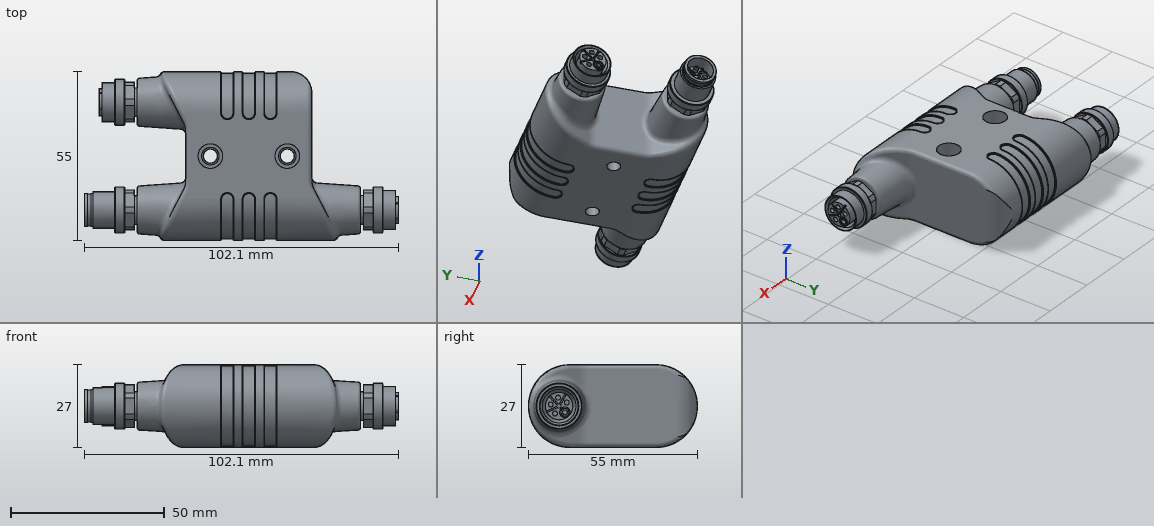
import cadquery as cq
import math

BODY_WIDTH = 54.95
BODY_HEIGHT = 26.95
SIDE_RADIUS = BODY_HEIGHT / 2
WAIST_HALF_LENGTH = 20.5
SLANT_START_Y = 9.5
SLANT_RATIO = 0.52
SHOULDER_BLEND = 6.0
CORNER_RADIUS = 7.0
END_EDGE_FILLET = 1.5
HALF_WIDTH = BODY_WIDTH / 2
SHOULDER_TIP_X = WAIST_HALF_LENGTH + SLANT_RATIO * (HALF_WIDTH - SLANT_START_Y)

GROOVE_COUNT = 3
GROOVE_PITCH = 7.0
GROOVE_WIDTH = 4.3
GROOVE_DEPTH = 0.5
GROOVE_STEP = 0.3
GROOVE_END_Y = HALF_WIDTH - SIDE_RADIUS

HOLE_SPACING = 25.0
HOLE_DIAMETER = 4.5
COUNTERBORE_DIAMETER = 8.0
COUNTERBORE_DEPTH = 8.0
STEP_DIAMETER = 5.7
STEP_DEPTH = 1.0

PORT_Y = 17.5
FEMALE_PORTS = ((-1, 1), (1, -1))
MALE_PORT = (-1, -1)
PORTS = (*FEMALE_PORTS, MALE_PORT)
SLEEVE_FRONT = 36.3
HEX_START = 37.2
NUT_START = 40.3
BARREL_START = 43.6
FEMALE_BARREL_END = 47.7
FEMALE_TIP = 48.65
MALE_THREAD_END = 50.6
MALE_TIP = 53.45

SLEEVE_FRONT_DIAMETER = 15.6
SLEEVE_TAPER = math.radians(4.0)
SLEEVE_ROOT = 18.0
SLEEVE_EDGE_FILLET = 0.9
SLEEVE_BLEND = 1.8
SEAM_TOLERANCE = 0.02
SEAM_SAMPLES = (0, 0.3, 0.5, 0.8, 1)
NECK_DIAMETER = 9.4
HEX_ACROSS_FLATS = 13.0
HEX_CORNER_DIAMETER = 14.0
NUT_DIAMETER = 15.0
NUT_CHAMFER = 0.25

FEMALE_BARREL_DIAMETER = 12.8
FEMALE_BORE_DIAMETER = 10.95
FEMALE_MOUTH_DIAMETER = 12.3
FEMALE_FUNNEL_DEPTH = 3.0
INSERT_DIAMETER = 8.9
INSERT_SLOT_DEPTH = 0.9

MALE_THREAD_DIAMETER = 12.0
MALE_NOSE_DIAMETER = 10.8
MALE_RELIEF_DIAMETER = 10.5
MALE_RELIEF_START = 51.2
MALE_RELIEF_END = 52.4
MALE_BORE_DIAMETER = 8.75
MALE_BORE_DEPTH = 5.0
MALE_RIB_HEIGHT = 0.6
MALE_COLLAR_DIAMETER = 3.0
MALE_COLLAR_HEIGHT = 3.8

CONTACT_COUNT = 5
CONTACT_CIRCLE_RADIUS = 2.75
FIRST_CONTACT_ANGLE = 97.0
PIN_DIAMETER = 1.5
PIN_LENGTH = 2.0
PIN_TIP_CHAMFER = 0.4
PIN_ROOT = 1.0
SOCKET_DIAMETER = 1.6
SOCKET_DEPTH = 3.0
COLLAR_DIAMETER = 2.6
MOAT_DIAMETER = 3.4
WEB_WIDTH = 0.5
HUB_RADIUS = 0.7
CONTACT_STEP = 360.0 / CONTACT_COUNT
COLLAR_CONTACT = 2


def disc(diameter, start, end):
    """Cylinder on the X axis from X = start to X = end."""
    return cq.Workplane("YZ", origin=(start, 0, 0)).circle(diameter / 2).extrude(end - start)


def body_outline():
    """Block with the body outline in plan: three slanted shoulders and one square corner."""
    block = (
        cq.Workplane("XY")
        .moveTo(-SHOULDER_TIP_X, -HALF_WIDTH)
        .lineTo(SHOULDER_TIP_X, -HALF_WIDTH)
        .lineTo(WAIST_HALF_LENGTH, -SLANT_START_Y)
        .lineTo(WAIST_HALF_LENGTH, HALF_WIDTH)
        .lineTo(-SHOULDER_TIP_X, HALF_WIDTH)
        .lineTo(-WAIST_HALF_LENGTH, SLANT_START_Y)
        .lineTo(-WAIST_HALF_LENGTH, -SLANT_START_Y)
        .close()
        .extrude(BODY_HEIGHT, both=True)
    )
    for side_x, side_y in ((-1, -1), (-1, 1), (1, -1)):
        bend = (side_x * WAIST_HALF_LENGTH, side_y * SLANT_START_Y, 0)
        block = block.edges(cq.selectors.NearestToPointSelector(bend)).fillet(SHOULDER_BLEND)
    return block


def stadium_bar(inset=0.0):
    """Long bar on the X axis with the stadium section of the body, shrunk by inset."""
    section = cq.Workplane("YZ").slot2D(BODY_WIDTH - 2 * inset, BODY_HEIGHT - 2 * inset)
    return section.extrude(2 * SHOULDER_TIP_X, both=True)


def is_end_edge(edge):
    """True for the rim of the end faces; long edges and upright bend edges are left out."""
    upright = edge.geomType() == "LINE" and edge.BoundingBox().zlen > SIDE_RADIUS
    return abs(edge.Center().x) > WAIST_HALF_LENGTH / 2 and not upright


def corner_limit():
    """Block that clears the whole body and rounds only its plain corner in plan."""
    length = WAIST_HALF_LENGTH + SHOULDER_TIP_X
    rounded = (
        cq.Workplane("XY")
        .box(length, BODY_WIDTH, BODY_HEIGHT)
        .translate((WAIST_HALF_LENGTH - length / 2, 0, 0))
        .edges("|Z and >X and >Y")
        .fillet(CORNER_RADIUS)
    )
    lower_half = cq.Workplane("XY").box(2 * SHOULDER_TIP_X, HALF_WIDTH, BODY_HEIGHT)
    return rounded.union(lower_half.translate((0, -HALF_WIDTH / 2, 0)))


def body():
    """Stadium bar cut to the outline, with rounded ends and one rounded plain corner."""
    shell = stadium_bar().intersect(body_outline())
    shell = shell.edges().filter(is_end_edge).fillet(END_EDGE_FILLET)
    return shell.intersect(corner_limit())


def groove_band(x, side, width):
    """Upright slab with a round inner end, reaching out past one side of the body."""
    return (
        cq.Workplane("XY")
        .center(x, side * 2 * GROOVE_END_Y)
        .slot2D(2 * GROOVE_END_Y + width, width, 90)
        .extrude(BODY_HEIGHT, both=True)
    )


def grip_grooves():
    """Shallow bands over both rounded sides, with a narrower floor than mouth."""
    ledge_core = stadium_bar(GROOVE_DEPTH / 2)
    floor_core = stadium_bar(GROOVE_DEPTH)
    grooves = cq.Workplane("XY")
    for index in range(GROOVE_COUNT):
        x = (index - (GROOVE_COUNT - 1) / 2) * GROOVE_PITCH
        for side in (-1, 1):
            mouth = groove_band(x, side, GROOVE_WIDTH).cut(ledge_core)
            floor = groove_band(x, side, GROOVE_WIDTH - 2 * GROOVE_STEP).cut(floor_core)
            grooves = grooves.add(mouth.union(floor))
    return grooves.combine()


def mounting_hole(x):
    """Through hole with a counterbore from the top and a shallow step below it."""
    top = cq.Workplane("XY", origin=(x, 0, SIDE_RADIUS))
    hole = top.circle(HOLE_DIAMETER / 2).extrude(-BODY_HEIGHT)
    counterbore = top.circle(COUNTERBORE_DIAMETER / 2).extrude(-COUNTERBORE_DEPTH)
    step = top.circle(STEP_DIAMETER / 2).extrude(-COUNTERBORE_DEPTH - STEP_DEPTH)
    return hole.union(counterbore).union(step)


def contact_point(index):
    """Y and Z of a contact on a port that points along +X."""
    angle = math.radians(FIRST_CONTACT_ANGLE - index * CONTACT_STEP)
    return (CONTACT_CIRCLE_RADIUS * math.cos(angle), CONTACT_CIRCLE_RADIUS * math.sin(angle))


def contact_discs(diameter, start, end, indices):
    """Cylinders along X at the chosen contacts."""
    points = [contact_point(index) for index in indices]
    plane = cq.Workplane("YZ", origin=(start, 0, 0))
    return plane.pushPoints(points).circle(diameter / 2).extrude(end - start)


def web_plates(start, end):
    """Round hub with thin radial plates between the contacts, none of them beside the collar."""
    plates = disc(2 * HUB_RADIUS, start, end)
    reach = INSERT_DIAMETER / 2
    for index in range(CONTACT_COUNT):
        if index in (COLLAR_CONTACT, COLLAR_CONTACT - 1):
            continue
        angle = FIRST_CONTACT_ANGLE - (index + 0.5) * CONTACT_STEP
        plate = (
            cq.Workplane("XY")
            .box(end - start, reach, WEB_WIDTH)
            .translate(((start + end) / 2, reach / 2, 0))
            .rotate((0, 0, 0), (1, 0, 0), angle)
        )
        plates = plates.union(plate)
    return plates


def sleeve_radius(station):
    """Radius of the tapered sleeve at a distance along the port axis."""
    return SLEEVE_FRONT_DIAMETER / 2 + (SLEEVE_FRONT - station) * math.tan(SLEEVE_TAPER)


def sleeve():
    """Tapered sleeve that grows towards the body, with a rounded front edge."""
    profile = [
        (SLEEVE_ROOT, 0),
        (SLEEVE_ROOT, sleeve_radius(SLEEVE_ROOT)),
        (SLEEVE_FRONT, sleeve_radius(SLEEVE_FRONT)),
        (SLEEVE_FRONT, 0),
    ]
    cone = cq.Workplane("XY").polyline(profile).close().revolve(360, (0, 0), (1, 0))
    return cone.faces(">X").edges().fillet(SLEEVE_EDGE_FILLET)


def coupling():
    """Neck, hexagon with turned corners and round nut shared by all ports."""
    neck = disc(NECK_DIAMETER, SLEEVE_ROOT, HEX_START)
    hexagon = (
        cq.Workplane("YZ", origin=(HEX_START, 0, 0))
        .polygon(6, HEX_ACROSS_FLATS, circumscribed=True)
        .extrude(NUT_START - HEX_START)
        .intersect(disc(HEX_CORNER_DIAMETER, HEX_START, NUT_START))
    )
    nut = disc(NUT_DIAMETER, NUT_START, BARREL_START).edges().chamfer(NUT_CHAMFER)
    return neck.union(hexagon).union(nut)


def female_end():
    """Plain barrel with a funnel-shaped mouth around a slotted contact insert."""
    mouth_radius = FEMALE_MOUTH_DIAMETER / 2
    bore_radius = FEMALE_BORE_DIAMETER / 2
    insert_radius = INSERT_DIAMETER / 2
    chamfer_end = FEMALE_BARREL_END - (mouth_radius - bore_radius)
    funnel = [
        (FEMALE_BARREL_END - FEMALE_FUNNEL_DEPTH, 0),
        (FEMALE_BARREL_END - FEMALE_FUNNEL_DEPTH, insert_radius),
        (chamfer_end, bore_radius),
        (FEMALE_BARREL_END, mouth_radius),
        (FEMALE_BARREL_END, 0),
    ]
    barrel = disc(FEMALE_BARREL_DIAMETER, BARREL_START, FEMALE_BARREL_END)
    barrel = barrel.cut(cq.Workplane("XY").polyline(funnel).close().revolve(360, (0, 0), (1, 0)))

    slot_floor = FEMALE_TIP - INSERT_SLOT_DEPTH
    insert = disc(INSERT_DIAMETER, BARREL_START, FEMALE_TIP)
    insert = insert.cut(web_plates(slot_floor, FEMALE_TIP))
    moat = contact_discs(MOAT_DIAMETER, slot_floor, FEMALE_TIP, [COLLAR_CONTACT])
    collar = contact_discs(COLLAR_DIAMETER, slot_floor, FEMALE_TIP, [COLLAR_CONTACT])
    insert = insert.cut(moat).union(collar)
    sockets = contact_discs(SOCKET_DIAMETER, FEMALE_TIP - SOCKET_DEPTH, FEMALE_TIP, range(CONTACT_COUNT))
    return barrel.union(insert.cut(sockets))


def male_end():
    """Plain cylinder in place of the thread, with a relieved nose and pins on the floor of its bore."""
    floor = MALE_TIP - MALE_BORE_DEPTH
    barrel = disc(MALE_THREAD_DIAMETER, BARREL_START, MALE_THREAD_END)
    barrel = barrel.union(disc(MALE_NOSE_DIAMETER, MALE_THREAD_END, MALE_TIP))
    relief = disc(MALE_NOSE_DIAMETER, MALE_RELIEF_START, MALE_RELIEF_END)
    barrel = barrel.cut(relief.cut(disc(MALE_RELIEF_DIAMETER, MALE_RELIEF_START, MALE_RELIEF_END)))
    barrel = barrel.cut(disc(MALE_BORE_DIAMETER, floor, MALE_TIP))
    pin_indices = [index for index in range(CONTACT_COUNT) if index != COLLAR_CONTACT]
    pins = contact_discs(PIN_DIAMETER, floor - PIN_ROOT, floor + PIN_LENGTH, pin_indices)
    pins = pins.faces(">X").edges().chamfer(PIN_TIP_CHAMFER)
    ribs = web_plates(floor - PIN_ROOT, floor + MALE_RIB_HEIGHT)
    collar_top = floor + MALE_COLLAR_HEIGHT
    collar = contact_discs(MALE_COLLAR_DIAMETER, floor - PIN_ROOT, collar_top, [COLLAR_CONTACT])
    collar_bore = contact_discs(SOCKET_DIAMETER, floor, collar_top, [COLLAR_CONTACT])
    return barrel.union(ribs).union(collar).cut(collar_bore).union(pins)


def place(shape, side_x, side_y):
    """Turn a shape built along +X to its port; side_x and side_y give the direction and row."""
    turned = shape if side_x > 0 else shape.rotate((0, 0, 0), (0, 0, 1), 180)
    return turned.translate((0, side_y * PORT_Y, 0))


def is_sleeve_seam(edge):
    """True where a sleeve meets the body: every sample point lies on the cone behind its front."""
    for fraction in SEAM_SAMPLES:
        point = edge.positionAt(fraction)
        from_axis = math.hypot(abs(point.y) - PORT_Y, point.z)
        station = abs(point.x)
        on_cone = abs(from_axis - sleeve_radius(station)) < SEAM_TOLERANCE
        if not on_cone or station > SLEEVE_FRONT - SLEEVE_EDGE_FILLET - SEAM_TOLERANCE:
            return False
    return edge.geomType() != "LINE"


result = body()
for port in PORTS:
    result = result.union(place(sleeve(), *port))
result = result.edges().filter(is_sleeve_seam).fillet(SLEEVE_BLEND)
result = result.cut(grip_grooves())
for port in PORTS:
    result = result.union(place(coupling(), *port))
for port in FEMALE_PORTS:
    result = result.union(place(female_end(), *port))
result = result.union(place(male_end(), *MALE_PORT))
for side in (-1, 1):
    result = result.cut(mounting_hole(side * HOLE_SPACING / 2))